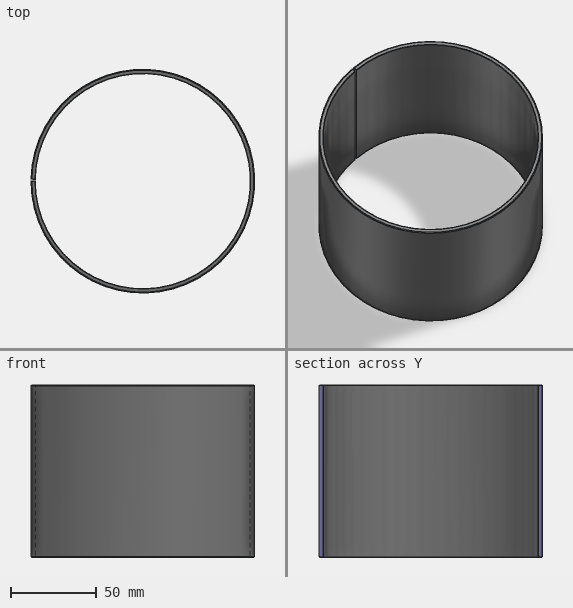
import cadquery as cq

outer_diameter = 130.0
wall_thickness = 2.5
height = 100.0
outer_rim_chamfer = 0.5
inner_rim_chamfer = 0.2
wrap_angle = 359.0

outer_radius = outer_diameter / 2
inner_radius = outer_radius - wall_thickness


def make_wall_section():
    """Wall cross-section on the -X side of the XZ plane, chamfered at all four corners."""
    outline = [
        (-outer_radius, outer_rim_chamfer),
        (-outer_radius, height - outer_rim_chamfer),
        (-outer_radius + outer_rim_chamfer, height),
        (-inner_radius - inner_rim_chamfer, height),
        (-inner_radius, height - inner_rim_chamfer),
        (-inner_radius, inner_rim_chamfer),
        (-inner_radius - inner_rim_chamfer, 0),
        (-outer_radius + outer_rim_chamfer, 0),
    ]
    return cq.Workplane("XZ").polyline(outline).close()


def make_split_sleeve():
    """Sweep the wall section around Z, stopping just short of a full turn.

    The sweep starts at Y = 0 on the -X side and runs through -Y, +X and +Y, so the
    remaining gap is a narrow full-height slit on the +Y side of the start face.
    """
    axis_start = (0, 0, 0)
    axis_end = (0, 1, 0)
    return make_wall_section().revolve(wrap_angle, axis_start, axis_end)


result = make_split_sleeve()